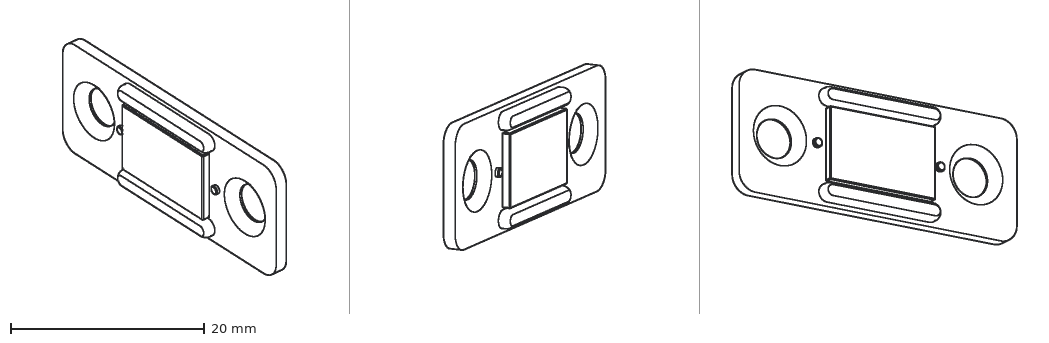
import cadquery as cq
import math

PLATE_LENGTH = 34.0
PLATE_HEIGHT = 13.4
PLATE_THICKNESS = 1.4
PLATE_CORNER_RADIUS = 2.0

HOLE_SPACING = 24.0
HOLE_DIAMETER = 4.2
COUNTERSINK_DIAMETER = 6.5
COUNTERSINK_ANGLE = 90.0

RAIL_LENGTH = 14.5
RAIL_WIDTH = 1.97
RAIL_RADIUS = RAIL_WIDTH / 2
RAIL_RISE = 1.2
RAIL_STRAIGHT_RISE = 0.4
RAIL_SPACING = 10.47

PAD_LENGTH = 12.92
PAD_HEIGHT = 8.02
PAD_RISE = 1.0
PAD_CHAMFER = 0.12

PIN_SPACING = 15.0
PIN_DIAMETER = 1.0
PIN_RISE = 0.4
PIN_CHAMFER = 0.1


def front_plane(x=0):
    """Workplane on the front face of the plate, facing -Y."""
    return cq.Workplane("XZ", origin=(x, 0, 0))


def make_plate():
    plate = (
        front_plane()
        .rect(PLATE_LENGTH, PLATE_HEIGHT)
        .extrude(-PLATE_THICKNESS)
        .edges("|Y")
        .fillet(PLATE_CORNER_RADIUS)
    )
    return (
        plate.faces("<Y")
        .workplane(origin=(0, 0, 0))
        .pushPoints([(-HOLE_SPACING / 2, 0), (HOLE_SPACING / 2, 0)])
        .cskHole(HOLE_DIAMETER, COUNTERSINK_DIAMETER, COUNTERSINK_ANGLE)
    )



def rail_half_profile(x):
    """Half section with straight side, rounded shoulder and flat top, in the YZ plane at x."""
    arc_rise = RAIL_RISE - RAIL_STRAIGHT_RISE
    shoulder_angle = math.asin(arc_rise / RAIL_RADIUS)

    def shoulder_point(angle):
        return (
            -RAIL_STRAIGHT_RISE - RAIL_RADIUS * math.sin(angle),
            RAIL_RADIUS * math.cos(angle),
        )

    return (
        cq.Workplane("YZ", origin=(x, 0, 0))
        .moveTo(0, 0)
        .lineTo(0, RAIL_RADIUS)
        .lineTo(-RAIL_STRAIGHT_RISE, RAIL_RADIUS)
        .threePointArc(shoulder_point(shoulder_angle / 2), shoulder_point(shoulder_angle))
        .lineTo(-RAIL_RISE, 0)
        .close()
    )


def make_rail():
    """Rail along X: straight middle closed by a revolved round at each end."""
    end_offset = RAIL_LENGTH / 2 - RAIL_RADIUS
    upper_half = rail_half_profile(-end_offset).extrude(2 * end_offset)
    rail = upper_half.union(upper_half.mirror("XY"))
    for x in (-end_offset, end_offset):
        rail = rail.union(rail_half_profile(x).revolve(360, (0, 0), (1, 0)))
    return rail


def make_pad():
    return front_plane().rect(PAD_LENGTH, PAD_HEIGHT).extrude(PAD_RISE).edges().chamfer(PAD_CHAMFER)


def make_pin(x):
    return front_plane(x).circle(PIN_DIAMETER / 2).extrude(PIN_RISE).faces("<Y").chamfer(PIN_CHAMFER)


result = make_plate().union(make_pad())
for side in (-1, 1):
    result = result.union(make_rail().translate((0, 0, side * RAIL_SPACING / 2)))
    result = result.union(make_pin(side * PIN_SPACING / 2))